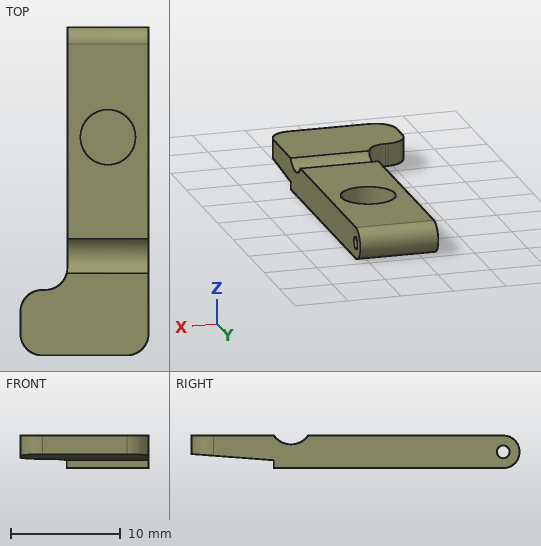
import cadquery as cq

length = 29.9
width = 11.7
thickness = 3.0
arm_width = 7.42
arm_left = width - arm_width

paddle_length = 5.98
corner_radius = 2.0
relief_length = 7.5
relief_end_height = 1.3
relief_step_height = 0.72

end_radius = thickness / 2
pivot_y = length - end_radius
pin_radius = 0.57
pocket_radius = 2.5
pocket_depth = 2.25
pocket_y = 19.88
groove_length = 3.15
groove_depth = 0.8


def make_outline():
    """L-shaped plate with rounded paddle corners and inner corner."""
    plate = (
        cq.Workplane("XY")
        .moveTo(0, 0)
        .lineTo(width, 0)
        .lineTo(width, length)
        .lineTo(arm_left, length)
        .lineTo(arm_left, paddle_length)
        .lineTo(0, paddle_length)
        .close()
        .extrude(thickness)
    )
    pick_margin = 0.3
    rounded_corners = [(0, 0), (width, 0), (0, paddle_length), (arm_left, paddle_length)]
    for x, y in rounded_corners:
        low_point = (x - pick_margin, y - pick_margin, -pick_margin)
        high_point = (x + pick_margin, y + pick_margin, thickness + pick_margin)
        selector = cq.selectors.BoxSelector(low_point, high_point)
        plate = plate.edges("|Z").edges(selector).fillet(corner_radius)
    return plate


def make_side_profile():
    """Side shape: round pivot end, top groove and sloped relief below the paddle."""
    groove_end = relief_length + groove_length
    return (
        cq.Workplane("YZ")
        .moveTo(0, relief_end_height)
        .lineTo(relief_length, relief_step_height)
        .lineTo(relief_length, 0)
        .lineTo(pivot_y, 0)
        .threePointArc((length, end_radius), (pivot_y, thickness))
        .lineTo(groove_end, thickness)
        .threePointArc(
            (relief_length + groove_length / 2, thickness - groove_depth),
            (relief_length, thickness),
        )
        .lineTo(0, thickness)
        .close()
        .extrude(width)
    )


def make_pin_hole():
    """Cross hole through the round end, concentric with it."""
    return (
        cq.Workplane("YZ")
        .center(pivot_y, end_radius)
        .circle(pin_radius)
        .extrude(width)
    )


def make_pocket():
    """Blind round pocket in the top, centred across the arm."""
    return (
        cq.Workplane("XY", origin=(arm_left + arm_width / 2, pocket_y, thickness))
        .circle(pocket_radius)
        .extrude(-pocket_depth)
    )


result = make_outline().intersect(make_side_profile()).cut(make_pin_hole()).cut(make_pocket())